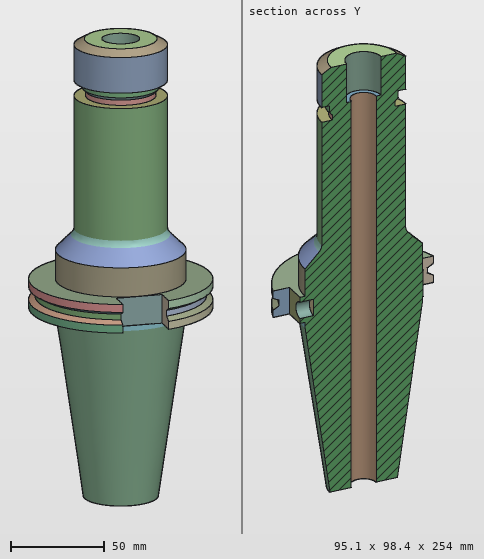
import cadquery as cq
import math

gauge_diameter = 69.85
taper_length = 101.6
taper_ratio = 7 / 24
gauge_radius = gauge_diameter / 2
shank_end_radius = gauge_radius - taper_length * taper_ratio / 2

flange_radius = 98.425 / 2
flange_offset = 3.175
flange_bottom = taper_length + flange_offset
flange_thickness = 15.875
flange_top = flange_bottom + flange_thickness
groove_center = flange_bottom + flange_thickness / 2
groove_floor_radius = 45.8
groove_floor_width = 3.2
groove_flank_angle = 30.0
groove_flank_height = (flange_radius - groove_floor_radius) * math.tan(math.radians(groove_flank_angle))

slot_width = 25.4
slot_floor_left = 37.9
slot_floor_right = 35.35

locating_hole_diameter = 9.5
locating_hole_depth = 8.0

shoulder_radius = gauge_radius
shoulder_cone_bottom = 136.8
body_radius = 25.0
shoulder_cone_top = shoulder_cone_bottom + shoulder_radius - body_radius
body_fillet_radius = 5.1
edge_search_margin = 1.0

overall_length = 254.0
body_top = 222.4
nut_length = 23.0
nut_bottom = overall_length - nut_length
nut_radius = 25.0
nut_face_radius = 19.4
nut_chamfer_angle = 30.0
nut_chamfer_height = (nut_radius - nut_face_radius) * math.tan(math.radians(nut_chamfer_angle))
upper_neck_radius = 20.6
lower_neck_radius = 18.8
neck_step_top = 227.1
neck_step_bottom = neck_step_top - (upper_neck_radius - lower_neck_radius)

bore_diameter = 14.6
nut_bore_diameter = 20.2


def revolve_profile(points):
    """Revolve a closed (radius, height) outline about the Z axis."""
    return cq.Workplane("XZ").polyline(points).close().revolve(360, (0, 0), (0, 1))


def make_holder():
    """Taper, flange, shoulder, body and neck up to the underside of the nut."""
    holder = revolve_profile([
        (0, 0),
        (shank_end_radius, 0),
        (gauge_radius, taper_length),
        (gauge_radius, flange_bottom),
        (flange_radius, flange_bottom),
        (flange_radius, flange_top),
        (shoulder_radius, flange_top),
        (shoulder_radius, shoulder_cone_bottom),
        (body_radius, shoulder_cone_top),
        (body_radius, body_top),
        (lower_neck_radius, body_top),
        (lower_neck_radius, neck_step_bottom),
        (upper_neck_radius, neck_step_top),
        (upper_neck_radius, nut_bottom),
        (0, nut_bottom),
    ])
    cone_top_edge = cq.selectors.BoxSelector(
        (-shoulder_radius, -shoulder_radius, shoulder_cone_top - edge_search_margin),
        (shoulder_radius, shoulder_radius, shoulder_cone_top + edge_search_margin),
        boundingbox=True,
    )
    return holder.edges(cone_top_edge).fillet(body_fillet_radius)


def make_nut():
    """Clamping nut with a shallow cone around its outer face."""
    return revolve_profile([
        (0, nut_bottom),
        (nut_radius, nut_bottom),
        (nut_radius, overall_length - nut_chamfer_height),
        (nut_face_radius, overall_length),
        (0, overall_length),
    ])


def make_groove():
    """V groove ring with a flat floor."""
    half_floor = groove_floor_width / 2
    half_mouth = half_floor + groove_flank_height
    return revolve_profile([
        (groove_floor_radius, groove_center - half_floor),
        (flange_radius, groove_center - half_mouth),
        (flange_radius, groove_center + half_mouth),
        (groove_floor_radius, groove_center + half_floor),
    ])


def make_drive_slot(side, floor_distance):
    """Block that cuts one drive slot; side is -1 for -X and +1 for +X."""
    depth = flange_radius - floor_distance
    return (
        cq.Workplane("XY", origin=(side * (floor_distance + depth / 2), 0, flange_bottom))
        .rect(depth, slot_width)
        .extrude(flange_thickness)
    )


def make_locating_hole():
    """Blind hole running in +X from the floor of the left slot."""
    return (
        cq.Workplane("YZ", origin=(-slot_floor_left, 0, groove_center))
        .circle(locating_hole_diameter / 2)
        .extrude(locating_hole_depth)
    )


def make_bore():
    """Through bore, widened inside the nut."""
    through = cq.Workplane("XY").circle(bore_diameter / 2).extrude(overall_length)
    nut_bore = (
        cq.Workplane("XY", origin=(0, 0, nut_bottom))
        .circle(nut_bore_diameter / 2)
        .extrude(nut_length)
    )
    return through.union(nut_bore)


result = (
    make_holder()
    .union(make_nut())
    .cut(make_groove())
    .cut(make_drive_slot(-1, slot_floor_left))
    .cut(make_drive_slot(1, slot_floor_right))
    .cut(make_locating_hole())
    .cut(make_bore())
)